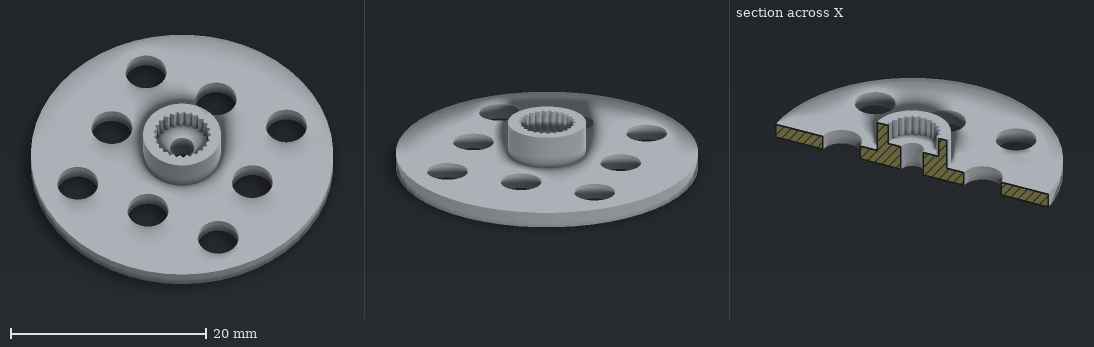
import cadquery as cq
import math

disc_diameter = 31.0
disc_thickness = 1.6
total_height = 5.0
boss_diameter = 8.0

hole_diameter = 4.22
hole_pitch = 8.0

tooth_count = 25
spline_outer_radius = 3.0
spline_inner_radius = 2.67
spline_depth = 2.2
screw_hole_diameter = 2.5


def make_body():
    """Flat disc with a cylindrical boss on top."""
    disc = cq.Workplane("XY").circle(disc_diameter / 2).extrude(disc_thickness)
    boss = cq.Workplane("XY").circle(boss_diameter / 2).extrude(total_height)
    return disc.union(boss)


def make_mounting_holes():
    """Cutters on a 3 x 3 grid, leaving out the centre."""
    steps = (-1, 0, 1)
    centres = [
        (column * hole_pitch, row * hole_pitch)
        for column in steps
        for row in steps
        if (column, row) != (0, 0)
    ]
    return cq.Workplane("XY").pushPoints(centres).circle(hole_diameter / 2).extrude(disc_thickness)


def make_spline_socket():
    """Cutter with triangular teeth; one outward point faces -Y."""
    points = []
    for index in range(2 * tooth_count):
        radius = spline_inner_radius if index % 2 else spline_outer_radius
        angle = -math.pi / 2 + index * math.pi / tooth_count
        points.append((radius * math.cos(angle), radius * math.sin(angle)))
    socket_floor = total_height - spline_depth
    return cq.Workplane("XY").workplane(offset=socket_floor).polyline(points).close().extrude(spline_depth)


def make_screw_hole():
    """Cutter along the axis of the boss."""
    return cq.Workplane("XY").circle(screw_hole_diameter / 2).extrude(total_height)


result = make_body().cut(make_mounting_holes()).cut(make_spline_socket()).cut(make_screw_hole())